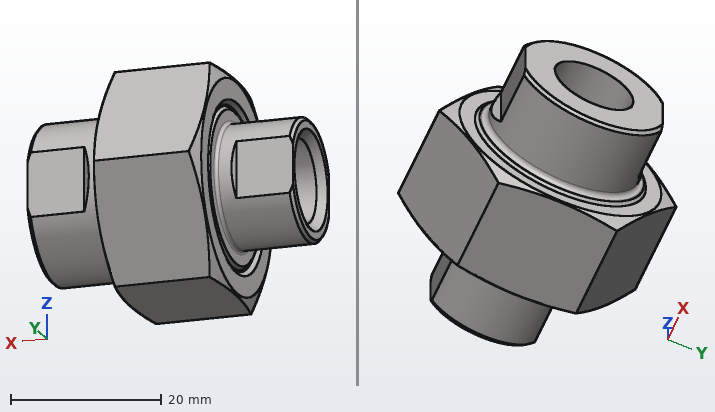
import cadquery as cq
import math

LENGTH = 36.5
BORE_R = 11.45 / 2
EDGE_CHAMFER = 0.47

NUT_START = 10.48
NUT_END = 25.55
HEX_FLATS = 30.0
HEX_CORNERS = HEX_FLATS / math.cos(math.pi / 6)
NUT_FACE_R = 14.75
NUT_BEVEL_DEPTH = 0.88
NUT_MOUTH_R = 22.5 / 2
NUT_MOUTH_CHAMFER = 0.62
NUT_SHOULDER = 2.92
NUT_CAVITY_R = 25.0 / 2
CAVITY_START = NUT_START + NUT_SHOULDER

TAIL_R = 17.0 / 2
TAIL_FLAT_Y = 7.52
TAIL_FLAT_LENGTH = 7.95
TAIL_RUNOUT = 0.35
TAIL_FILLET = 0.47
COLLAR_R = 22.0 / 2
COLLAR_START = 10.62
TAIL_BORE_MOUTH_R = 6.9
TAIL_BORE_CHAMFER = TAIL_BORE_MOUTH_R - BORE_R
JOINT_X = 17.15

BODY_R = 22.0 / 2
BODY_FLAT_Y = 10.05
BODY_FLAT_LENGTH = 8.0
BODY_RUNOUT = BODY_R - BODY_FLAT_Y
BODY_FILLET = 0.75
BODY_SHOULDER_X = 26.02


def revolve_x(profile):
    """Revolve a closed outline, drawn as (x, radius), about the X axis."""
    return profile.close().revolve(360, (0, 0, 0), (1, 0, 0))


def fillet_arc_middle(center_x, center_r, radius, side):
    """Middle point of a concave quarter arc; side is -1 or +1 along X."""
    step = radius * math.sqrt(0.5)
    return (center_x + side * step, center_r - step)


def flat_cutter(end_x, inward, length, flat_y, outer_r, runout):
    """Pair of side cutters from an end face, each with a sloped inner end."""
    inner_x = end_x + inward * length
    outer_x = inner_x + inward * runout
    profile = (
        cq.Workplane("XY")
        .moveTo(end_x, flat_y)
        .lineTo(inner_x, flat_y)
        .lineTo(outer_x, outer_r)
        .lineTo(end_x, outer_r)
        .close()
    )
    cutter = profile.extrude(outer_r, both=True)
    return cutter.union(cutter.mirror("XZ"))


def make_nut():
    hexagon = (
        cq.Workplane("YZ")
        .workplane(offset=NUT_START)
        .polygon(6, HEX_CORNERS)
        .extrude(NUT_END - NUT_START)
    )
    corner_r = HEX_CORNERS / 2
    bevel_envelope = revolve_x(
        cq.Workplane("XY")
        .moveTo(NUT_START, 0)
        .lineTo(NUT_START, NUT_FACE_R)
        .lineTo(NUT_START + NUT_BEVEL_DEPTH, corner_r)
        .lineTo(NUT_END - NUT_BEVEL_DEPTH, corner_r)
        .lineTo(NUT_END, NUT_FACE_R)
        .lineTo(NUT_END, 0)
    )
    opening = revolve_x(
        cq.Workplane("XY")
        .moveTo(NUT_START, 0)
        .lineTo(NUT_START, NUT_MOUTH_R + NUT_MOUTH_CHAMFER)
        .lineTo(NUT_START + NUT_MOUTH_CHAMFER, NUT_MOUTH_R)
        .lineTo(CAVITY_START, NUT_MOUTH_R)
        .lineTo(CAVITY_START, NUT_CAVITY_R)
        .lineTo(NUT_END, NUT_CAVITY_R)
        .lineTo(NUT_END, 0)
    )
    return hexagon.intersect(bevel_envelope).cut(opening)


def make_tail():
    fillet_x = COLLAR_START - TAIL_FILLET
    fillet_r = TAIL_R + TAIL_FILLET
    tail = revolve_x(
        cq.Workplane("XY")
        .moveTo(0, TAIL_BORE_MOUTH_R)
        .lineTo(0, TAIL_R - EDGE_CHAMFER)
        .lineTo(EDGE_CHAMFER, TAIL_R)
        .lineTo(fillet_x, TAIL_R)
        .threePointArc(
            fillet_arc_middle(fillet_x, fillet_r, TAIL_FILLET, 1),
            (COLLAR_START, fillet_r),
        )
        .lineTo(COLLAR_START, COLLAR_R - EDGE_CHAMFER)
        .lineTo(COLLAR_START + EDGE_CHAMFER, COLLAR_R)
        .lineTo(CAVITY_START, COLLAR_R)
        .lineTo(CAVITY_START, NUT_CAVITY_R)
        .lineTo(JOINT_X, NUT_CAVITY_R)
        .lineTo(JOINT_X, BORE_R)
        .lineTo(TAIL_BORE_CHAMFER, BORE_R)
    )
    return tail.cut(flat_cutter(0, 1, TAIL_FLAT_LENGTH, TAIL_FLAT_Y, TAIL_R, TAIL_RUNOUT))


def make_body():
    fillet_x = BODY_SHOULDER_X + BODY_FILLET
    fillet_r = BODY_R + BODY_FILLET
    body = revolve_x(
        cq.Workplane("XY")
        .moveTo(JOINT_X, BORE_R)
        .lineTo(JOINT_X, NUT_CAVITY_R)
        .lineTo(BODY_SHOULDER_X - EDGE_CHAMFER, NUT_CAVITY_R)
        .lineTo(BODY_SHOULDER_X, NUT_CAVITY_R - EDGE_CHAMFER)
        .lineTo(BODY_SHOULDER_X, fillet_r)
        .threePointArc(
            fillet_arc_middle(fillet_x, fillet_r, BODY_FILLET, -1),
            (fillet_x, BODY_R),
        )
        .lineTo(LENGTH - EDGE_CHAMFER, BODY_R)
        .lineTo(LENGTH, BODY_R - EDGE_CHAMFER)
        .lineTo(LENGTH, BORE_R)
    )
    return body.cut(flat_cutter(LENGTH, -1, BODY_FLAT_LENGTH, BODY_FLAT_Y, BODY_R, BODY_RUNOUT))


nut = make_nut()
tail = make_tail()
body = make_body()

result = cq.Compound.makeCompound([nut.val(), tail.val(), body.val()])